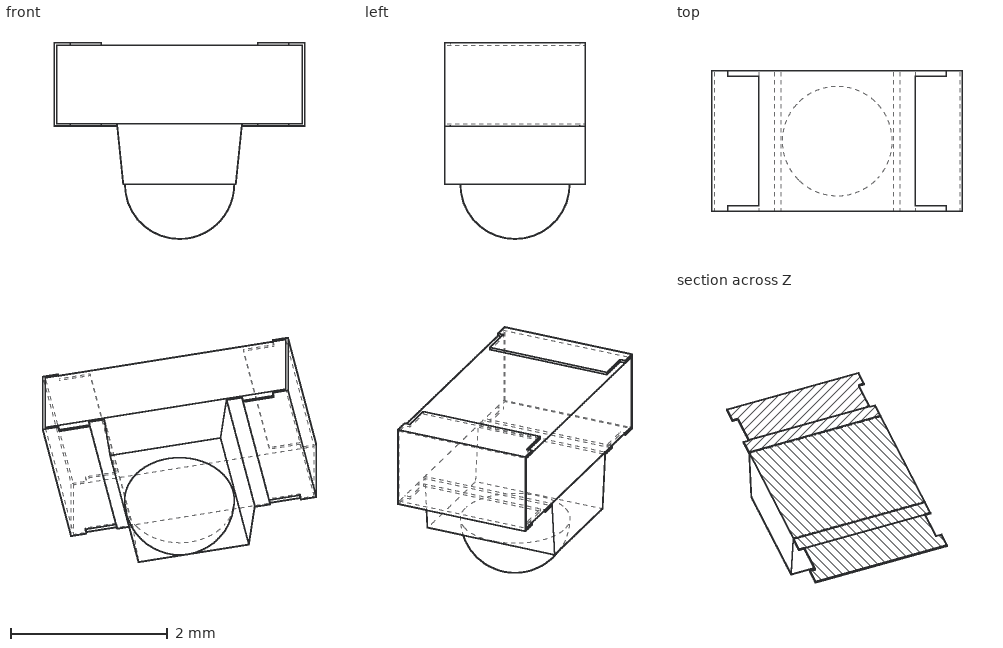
import cadquery as cq

overall_length = 3.2
width = 1.8
overall_height = 2.51
plating = 0.032
core_height = 1.0
pad_length = 0.6
rim_length = 0.2
pad_inset = 0.075
lens_root_length = 1.6
lens_end_length = 1.44
dome_radius = 0.7

core_length = overall_length - 2 * plating
terminal_height = core_height + 2 * plating
mask_length = overall_length / 2 - pad_length - lens_root_length / 2
pad_width = width - 2 * pad_inset
core_bottom = -core_height / 2
dome_tip = terminal_height / 2 - overall_height
dome_base = dome_tip + dome_radius


def make_core():
    """Plain rectangular substrate."""
    return cq.Workplane("XY").box(core_length, width, core_height)


def make_terminal(side, core):
    """C-shaped metal cap on one end of the core; side is -1 or +1 along X."""
    end = side * overall_length / 2
    rim = (
        cq.Workplane("XY")
        .box(rim_length, width, terminal_height)
        .translate((end - side * rim_length / 2, 0, 0))
    )
    pads = (
        cq.Workplane("XY")
        .box(pad_length, pad_width, terminal_height)
        .translate((end - side * pad_length / 2, 0, 0))
    )
    return rim.union(pads).cut(core)


def make_mask_strip(side):
    """Full-width strip under the core, filling from the lens root to a terminal pad."""
    centre_x = side * (lens_root_length + mask_length) / 2
    return (
        cq.Workplane("XY")
        .box(mask_length, width, plating)
        .translate((centre_x, 0, core_bottom - plating / 2))
    )


def make_lens():
    """Full-width tapered block under the core, ending in a hemispherical dome."""
    block = (
        cq.Workplane("XZ")
        .moveTo(-lens_root_length / 2, core_bottom)
        .lineTo(lens_root_length / 2, core_bottom)
        .lineTo(lens_end_length / 2, dome_base)
        .lineTo(-lens_end_length / 2, dome_base)
        .close()
        .extrude(width / 2, both=True)
    )
    dome = (
        cq.Workplane("XZ")
        .moveTo(0, dome_base)
        .lineTo(dome_radius, dome_base)
        .radiusArc((0, dome_tip), dome_radius)
        .close()
        .revolve(360, (0, 0, 0), (0, 1, 0))
    )
    return block.union(dome)


core = make_core()
terminals = [make_terminal(side, core) for side in (-1, 1)]
mask_strips = [make_mask_strip(side) for side in (-1, 1)]
lens = make_lens()

result = cq.Compound.makeCompound([
    core.val(),
    *[terminal.solids().val() for terminal in terminals],
    *[strip.val() for strip in mask_strips],
    lens.solids().val(),
])